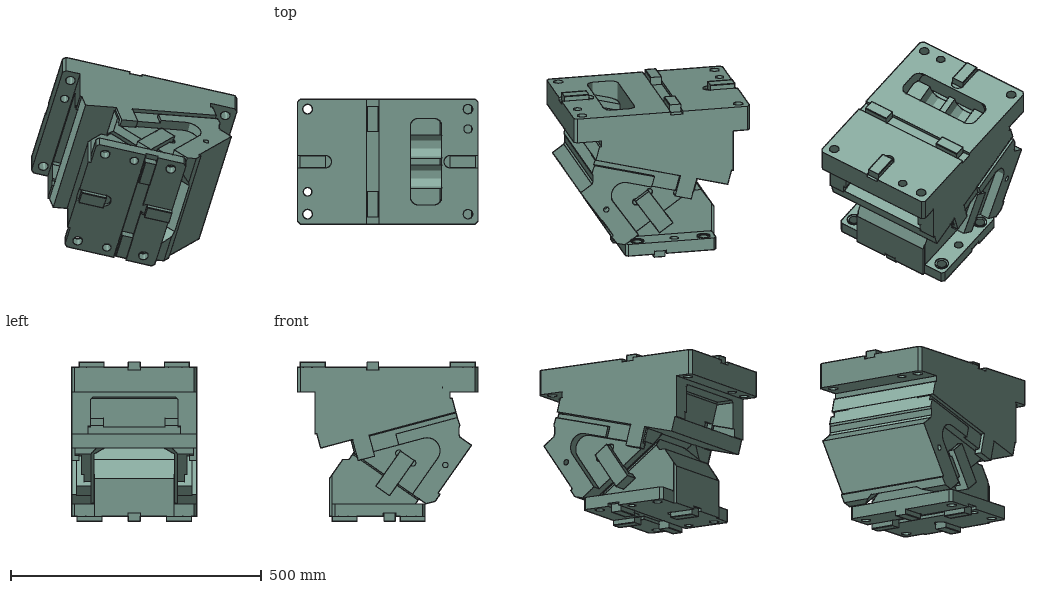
import cadquery as cq
import math


LENGTH = 360.0
WIDTH = 250.0
HEIGHT = 318.0
HALF_WIDTH = WIDTH / 2
FAR = 216.0

KEY_LENGTH = 50.0
KEY_WIDTH = 25.0
KEY_PLAY = 1.8
KEY_PROUD = 10.0
KEY_SLOT_DEPTH = 6.0
KEY_CHAMFER = 1.0
KEY_INSET = 5.5

PLATE_TOP = HEIGHT - KEY_PROUD
PLATE_THICKNESS = 50.0
PLATE_BOTTOM = PLATE_TOP - PLATE_THICKNESS
PLATE_CHAMFER = 5.8
BLOCK_LEFT = -145.0
BLOCK_RIGHT = 124.2
BLOCK_STEP = 246.0
DRIVE_ANGLE = 15.0
DRIVE_TIP = (-134.0, 145.8)
DRIVE_LENGTH = 279.5
SLAB_THICKNESS = 30.0
HOOK_START = 66.0
HOOK_LENGTH = 34.2
HOOK_DEPTH = 43.2
HOOK_INNER_Y = 109.8
CROSS_KEY_X = -30.0
CROSS_KEY_Y = 85.0
BOLT_X = 160.0
BOLT_Y = 104.8
BOLT_RADIUS = 9.5
DOWEL_RADIUS = 8.3
DOWEL_LEFT_Y = -60.0
DOWEL_RIGHT_Y = 65.0
WINDOW_HALF = 86.8
WINDOW_TOP = 247.5
WINDOW_CHAMFER = 3.0
WINDOW_CORNER = 4.5
WINDOW_WALL = 51.0
SILL_HALF = 92.5
SILL_HEIGHT = 16.0
TUNNEL_INNER_Y = 61.0
TUNNEL_HEIGHT = 18.0
TUNNEL_END = 63.0
POCKET_LEFT = 45.0
POCKET_RIGHT = 107.5
POCKET_HALF = 86.5
POCKET_CORNER = 16.2
POCKET_RIM = 3.5
SADDLE_RIGHT = 104.5
SADDLE_TOP = 284.8
TROUGH_DROP = 8.0
TROUGH_RADIUS = 23.5
TROUGH_Y = 30.0

SLIDE_ANGLE = 35.0
SLIDER_BOTTOM = 72.5
DRIVE_GAP = 1.8
PAD_HALF = 86.5
NOSE_START = 62.5
LEDGE_HALF = 118.0
LEDGE_START = 152.3
LEDGE_DROP = 11.5
RECESS_HALF = 105.5
RECESS_DROP = 34.0
RECESS_SLIDE_END = 9.5
RECESS_RADIUS = 26.0
SLIDER_TOE = 42.5
SLIDER_HEEL = 50.0
SLIDER_STOP = 54.7
STOP_LOW = 86.8
STOP_HIGH = 104.0
BACK_TOP = 220.5
BACK_SHOULDER = 21.5
BACK_HOLLOW = ((142.2, 173.5), (142.2, 187.0), (144.0, 191.5))
PIN_HOLE = (115.0, 112.5)
PIN_HOLE_RADIUS = 5.5
PIN_HOLE_DEPTH = 18.0

CLAW_START = -59.8
CLAW_END = -26.3
CLAW_LOW = 44.0
CLAW_HIGH = 129.5
CLAW_OUTER_Y = 115.2
CLAW_FOOT_HEIGHT = 10.8
CLAW_FOOT_Y = 86.0
CLAW_WAIST_Y = 99.7
RELIEF_RADIUS = 6.5
RELIEF_DROP = 5.8
RELIEF_DEPTH = 3.5

BASE_BOTTOM = KEY_PROUD
BASE_LEFT = -116.3
BASE_HALF = 80.5
BASE_FRONT_HALF = 79.5
BASE_SHELF = 123.5
BASE_SLOPE = -144.5
BASE_NOSE = -134.3
BASE_HEEL = 25.5
BASE_EAVE = 69.5
FOOT_LEFT = -111.0
FOOT_RIGHT = 74.5
FOOT_TOP = 35.0
FOOT_CHAMFER = 5.5
FOOT_HOLE_Y = 106.0
FOOT_BOLT_X = (-88.5, 47.0)
FOOT_DOWEL_X = -28.5
BORE_RADIUS = 13.5
BORE_DEPTH = 1.8
FOOT_KEY_END = FOOT_RIGHT + KEY_INSET
FOOT_KEY_X = 3.5
FOOT_KEY_Y = 89.3

ROOF_ANGLE = 35.0
ROOF_TOP = 93.5
ROOF_BASE_HALF = 80.5
ROOF_GROOVE_HALF = 86.5

COS_DRIVE = math.cos(math.radians(DRIVE_ANGLE))
SIN_DRIVE = math.sin(math.radians(DRIVE_ANGLE))
COS_SLIDE = math.cos(math.radians(SLIDE_ANGLE))
SIN_SLIDE = math.sin(math.radians(SLIDE_ANGLE))


def drive(along, above):
    """Point a distance along and above the driver's inclined bottom face."""
    x = DRIVE_TIP[0] + along * COS_DRIVE - above * SIN_DRIVE
    z = DRIVE_TIP[1] + along * SIN_DRIVE + above * COS_DRIVE
    return (x, z)


def slide(along, above):
    """Point a distance down the slide direction and above it, from the part's origin."""
    return (along * COS_SLIDE + above * SIN_SLIDE, -along * SIN_SLIDE + above * COS_SLIDE)


def slide_at_height(along, z):
    """Point at a given height on the line across the slide at a distance along it."""
    return ((along + z * SIN_SLIDE) / COS_SLIDE, z)


def drive_slide_crossing(drive_along, drive_above, slide_along):
    """Where the drive-direction line through a point meets a line across the slide."""
    x, z = drive(drive_along, drive_above)
    here = x * COS_SLIDE - z * SIN_SLIDE
    rate = math.cos(math.radians(DRIVE_ANGLE + SLIDE_ANGLE))
    return drive(drive_along + (slide_along - here) / rate, drive_above)


def nose_bottom():
    """Where the slider's nose face meets its bottom face."""
    x, z = drive(NOSE_START, 0)
    here = x * SIN_SLIDE + z * COS_SLIDE
    rate = math.cos(math.radians(DRIVE_ANGLE + SLIDE_ANGLE))
    return drive(NOSE_START, (SLIDER_BOTTOM - here) / rate)


def prism(points, y_low, y_high):
    """Outline in X and Z, extruded along Y between two positions."""
    return cq.Workplane("XZ", origin=(0, y_high, 0)).polyline(points).close().extrude(y_high - y_low)


def both_sides(points, inner, outer):
    return prism(points, inner, outer).union(prism(points, -outer, -inner))


def box(x_low, x_high, y_low, y_high, z_low, z_high):
    size = (x_high - x_low, y_high - y_low, z_high - z_low)
    return cq.Workplane("XY").box(*size, centered=False).translate((x_low, y_low, z_low))


def upright(points, radius, z_low, z_high):
    return cq.Workplane("XY", origin=(0, 0, z_low)).pushPoints(points).circle(radius).extrude(z_high - z_low)


def roof_bar(bottom, half_bottom, start, end):
    """Trapezoidal bar along the slide direction, from a bottom level to the roof top."""
    half_top = half_bottom - (ROOF_TOP - bottom) / math.tan(math.radians(ROOF_ANGLE))
    x, z = slide(start, 0)
    frame = cq.Plane(origin=(x, 0, z), xDir=(0, 1, 0), normal=(COS_SLIDE, 0, -SIN_SLIDE))
    outline = [(-half_bottom, bottom), (half_bottom, bottom), (half_top, ROOF_TOP), (-half_top, ROOF_TOP)]
    return cq.Workplane(frame).polyline(outline).close().extrude(end - start)


def hook_bars(depth):
    """Bars at both sides where the driver's hooks hang, down to a depth under the drive face."""
    end = HOOK_START + HOOK_LENGTH
    outline = [drive(HOOK_START, 0), drive(HOOK_START, -depth), drive(end, -depth), drive(end, 0)]
    return both_sides(outline, HOOK_INNER_Y, HALF_WIDTH)


def lengthwise_slot(end_x, inward):
    """Slot with one round end, open at end_x; inward is +1 or -1 along X."""
    round_x = end_x + inward * (KEY_INSET + KEY_LENGTH)
    slot = box(min(end_x, round_x), max(end_x, round_x), -KEY_WIDTH / 2, KEY_WIDTH / 2, -KEY_SLOT_DEPTH, 0)
    return slot.union(upright([(round_x, 0)], KEY_WIDTH / 2, -KEY_SLOT_DEPTH, 0))


def lengthwise_key(end_x, inward):
    mid_x = end_x + inward * (KEY_INSET + KEY_LENGTH / 2)
    half = KEY_LENGTH / 2
    key = box(mid_x - half, mid_x + half, -KEY_WIDTH / 2, KEY_WIDTH / 2, -KEY_SLOT_DEPTH, KEY_PROUD)
    return key.edges("|X and >Z").chamfer(KEY_CHAMFER)


def cross_key(mid_x, mid_y):
    half_x = (KEY_WIDTH - KEY_PLAY) / 2
    half_y = KEY_LENGTH / 2
    key = box(mid_x - half_x, mid_x + half_x, mid_y - half_y, mid_y + half_y, -KEY_SLOT_DEPTH, KEY_PROUD)
    return key.edges("|Y and >Z").chamfer(KEY_CHAMFER)


def key_slots(left_x, right_x, cross_x):
    cross = box(cross_x - KEY_WIDTH / 2, cross_x + KEY_WIDTH / 2, -FAR, FAR, -KEY_SLOT_DEPTH, 0)
    return cross.union(lengthwise_slot(left_x, 1)).union(lengthwise_slot(right_x, -1))


def keys(left_x, right_x, cross_x, cross_y):
    return [
        lengthwise_key(left_x, 1),
        lengthwise_key(right_x, -1),
        cross_key(cross_x, cross_y),
        cross_key(cross_x, -cross_y),
    ]


def driver_window():
    """Window in the left side, running along the slab to an end wall."""
    start, wall = -FAR, WINDOW_WALL
    wall_top = drive(wall, (WINDOW_TOP - drive(wall, 0)[1]) / COS_DRIVE)
    opening = prism(
        [
            drive(start, SLAB_THICKNESS),
            drive(wall, SLAB_THICKNESS),
            (wall_top[0] + WINDOW_CHAMFER * math.tan(math.radians(DRIVE_ANGLE)), WINDOW_TOP - WINDOW_CHAMFER),
            (wall_top[0] - WINDOW_CHAMFER, WINDOW_TOP),
            (-FAR, WINDOW_TOP),
        ],
        -WINDOW_HALF,
        WINDOW_HALF,
    )

    opening = opening.edges("|X and >Z").chamfer(WINDOW_CORNER)

    def along_floor(end, height):
        return [
            drive(start, SLAB_THICKNESS),
            drive(end, SLAB_THICKNESS),
            drive(end, SLAB_THICKNESS + height),
            drive(start, SLAB_THICKNESS + height),
        ]

    sill = prism(along_floor(wall, SILL_HEIGHT), -SILL_HALF, SILL_HALF)
    tunnels = both_sides(along_floor(TUNNEL_END, TUNNEL_HEIGHT), TUNNEL_INNER_Y, WINDOW_HALF)
    below_plate = box(-FAR, FAR, -FAR, FAR, 0, PLATE_BOTTOM)
    return opening.union(sill).union(tunnels).intersect(below_plate)


def driver_pocket():
    """Rounded opening in the top over an inclined saddle with two round troughs.

    Below its rim the right wall leans at right angles to the drive direction, and a
    narrow gap separates it from the saddle.
    """
    slope = math.tan(math.radians(DRIVE_ANGLE))
    floor_left = SADDLE_TOP - slope * (SADDLE_RIGHT - POCKET_LEFT)
    rim_z = PLATE_TOP - POCKET_RIM

    opening = box(POCKET_LEFT, POCKET_RIGHT, -POCKET_HALF, POCKET_HALF, 0, PLATE_TOP)
    opening = opening.edges("|Z").fillet(POCKET_CORNER)
    room = prism(
        [
            (POCKET_LEFT, floor_left),
            (SADDLE_RIGHT, SADDLE_TOP),
            (POCKET_RIGHT, rim_z),
            (POCKET_RIGHT, PLATE_TOP),
            (POCKET_LEFT, PLATE_TOP),
        ],
        -POCKET_HALF,
        POCKET_HALF,
    )
    gap_drop = TROUGH_DROP + TROUGH_RADIUS
    wall_drop = gap_drop + (rim_z - SADDLE_TOP)
    gap = prism(
        [
            (SADDLE_RIGHT, SADDLE_TOP),
            (SADDLE_RIGHT + gap_drop * SIN_DRIVE, SADDLE_TOP - gap_drop * COS_DRIVE),
            (POCKET_RIGHT + wall_drop * SIN_DRIVE, rim_z - wall_drop * COS_DRIVE),
            (POCKET_RIGHT, rim_z),
        ],
        -POCKET_HALF,
        POCKET_HALF,
    )
    pocket = room.intersect(opening).union(gap)

    saddle_start = cq.Plane(
        origin=(POCKET_LEFT, 0, floor_left),
        xDir=(0, 1, 0),
        normal=(COS_DRIVE, 0, SIN_DRIVE),
    )
    saddle_length = (SADDLE_RIGHT - POCKET_LEFT) / COS_DRIVE
    start = cq.Workplane(saddle_start).workplane(offset=-TROUGH_RADIUS)
    reach = saddle_length + TROUGH_RADIUS
    right_of_wall = box(POCKET_LEFT, FAR, -FAR, FAR, 0, PLATE_TOP)
    for y in (-TROUGH_Y, TROUGH_Y):
        round_part = start.center(y, -TROUGH_DROP).circle(TROUGH_RADIUS).extrude(reach)
        upright_part = start.center(y, -TROUGH_DROP / 2).rect(2 * TROUGH_RADIUS, TROUGH_DROP).extrude(reach)
        pocket = pocket.union(round_part.union(upright_part).intersect(right_of_wall))
    return pocket


def make_driver():
    plate = box(-LENGTH / 2, LENGTH / 2, -HALF_WIDTH, HALF_WIDTH, PLATE_BOTTOM, PLATE_TOP)
    plate = plate.edges("|Z").chamfer(PLATE_CHAMFER)
    step_left = drive(0, SLAB_THICKNESS)
    step_right = drive(DRIVE_LENGTH, (BLOCK_STEP - drive(DRIVE_LENGTH, 0)[1]) / COS_DRIVE)
    block = prism(
        [
            (BLOCK_LEFT, PLATE_BOTTOM),
            (BLOCK_LEFT, step_left[1]),
            step_left,
            drive(0, 0),
            drive(DRIVE_LENGTH, 0),
            step_right,
            (BLOCK_RIGHT, BLOCK_STEP),
            (BLOCK_RIGHT, PLATE_BOTTOM),
        ],
        -HALF_WIDTH,
        HALF_WIDTH,
    )
    hooks = hook_bars(HOOK_DEPTH)
    body = plate.union(block).union(hooks).cut(driver_window()).cut(driver_pocket())

    bolts = [(x, y) for x in (-BOLT_X, BOLT_X) for y in (-BOLT_Y, BOLT_Y)]
    dowels = [(-BOLT_X, DOWEL_LEFT_Y), (BOLT_X, DOWEL_RIGHT_Y)]
    body = body.cut(upright(bolts, BOLT_RADIUS, PLATE_BOTTOM, PLATE_TOP))
    body = body.cut(upright(dowels, DOWEL_RADIUS, PLATE_BOTTOM, PLATE_TOP))

    lift = (0, 0, PLATE_TOP)
    body = body.cut(key_slots(-LENGTH / 2, LENGTH / 2, CROSS_KEY_X).translate(lift))
    for key in keys(-LENGTH / 2, LENGTH / 2, CROSS_KEY_X, CROSS_KEY_Y):
        body = body.union(key.translate(lift))
    return body


def slider_block():
    outline = [
        drive(NOSE_START, -DRIVE_GAP),
        nose_bottom(),
        slide(SLIDER_TOE, SLIDER_BOTTOM),
        slide(SLIDER_STOP, STOP_LOW),
        slide(SLIDER_STOP, STOP_HIGH),
        slide(SLIDER_HEEL, STOP_HIGH),
        slide(SLIDER_HEEL, BACK_TOP),
        slide(BACK_SHOULDER, BACK_TOP),
        *BACK_HOLLOW,
        drive(DRIVE_LENGTH, -LEDGE_DROP),
        drive(DRIVE_LENGTH, -DRIVE_GAP),
    ]
    pad_start = HOOK_START + HOOK_LENGTH
    pad = prism(
        [
            drive(pad_start, -DRIVE_GAP),
            drive(DRIVE_LENGTH, -DRIVE_GAP),
            drive(DRIVE_LENGTH, 0),
            drive(pad_start, 0),
        ],
        -PAD_HALF,
        PAD_HALF,
    )
    return prism(outline, -HALF_WIDTH, HALF_WIDTH).union(pad)


def slider_ledges():
    """Side material removed above and to the left of the outer cheeks."""
    return both_sides(
        [
            drive(0, 0),
            drive(0, -RECESS_DROP),
            drive(LEDGE_START, -RECESS_DROP),
            drive(LEDGE_START, -LEDGE_DROP),
            drive(FAR * 2, -LEDGE_DROP),
            drive(FAR * 2, 0),
        ],
        LEDGE_HALF,
        HALF_WIDTH,
    )


def slider_recesses():
    """Side recesses that house the claws and let the hooks pass."""
    corner = drive_slide_crossing(0, -RECESS_DROP, RECESS_SLIDE_END)
    outline = [
        drive(0, -RECESS_DROP),
        slide(-FAR, 0),
        slide(RECESS_SLIDE_END, 0),
        corner,
    ]
    recess = both_sides(outline, RECESS_HALF, HALF_WIDTH)
    for y in (-HALF_WIDTH, HALF_WIDTH):
        at_corner = cq.selectors.NearestToPointSelector((corner[0], y, corner[1]))
        recess = recess.edges("|Y").edges(at_corner).fillet(RECESS_RADIUS)
    return recess


def claw_reliefs():
    """Round corner reliefs in the recess floor beside each claw's top."""
    centres = [slide(along, CLAW_HIGH - RELIEF_DROP) for along in (CLAW_START, CLAW_END)]
    bore = cq.Workplane("XZ", origin=(0, RECESS_HALF, 0)).pushPoints(centres)
    bore = bore.circle(RELIEF_RADIUS).extrude(RELIEF_DEPTH)
    return bore.union(bore.mirror("XZ"))


def claws():
    def bar(low, high, inner):
        return both_sides(
            [slide(CLAW_START, low), slide(CLAW_END, low), slide(CLAW_END, high), slide(CLAW_START, high)],
            inner,
            CLAW_OUTER_Y,
        )

    foot = bar(CLAW_LOW, CLAW_LOW + CLAW_FOOT_HEIGHT, CLAW_FOOT_Y)
    return foot.union(bar(CLAW_LOW, CLAW_HIGH, CLAW_WAIST_Y))


def make_slider():
    body = slider_block().cut(slider_ledges()).cut(slider_recesses()).cut(hook_bars(FAR))
    body = body.cut(roof_bar(SLIDER_BOTTOM, ROOF_GROOVE_HALF, -FAR, FAR))
    body = body.cut(claw_reliefs()).union(claws())
    pin_hole = cq.Workplane("XZ", origin=(0, -HALF_WIDTH + PIN_HOLE_DEPTH, 0))
    pin_hole = pin_hole.center(*PIN_HOLE).circle(PIN_HOLE_RADIUS).extrude(PIN_HOLE_DEPTH)
    return body.cut(pin_hole).cut(pin_hole.mirror("XZ"))


def make_base():
    slope_foot = (BASE_LEFT, (BASE_LEFT * COS_SLIDE - BASE_SLOPE) / SIN_SLIDE)
    block = prism(
        [
            (BASE_LEFT, BASE_BOTTOM),
            slope_foot,
            slide_at_height(BASE_SLOPE, BASE_SHELF),
            slide_at_height(BASE_NOSE, BASE_SHELF),
            slide(BASE_NOSE, BASE_EAVE),
            slide(BASE_HEEL, BASE_EAVE),
            slide_at_height(BASE_HEEL, FOOT_TOP),
            slide_at_height(BASE_HEEL, BASE_BOTTOM),
        ],
        -BASE_HALF,
        BASE_HALF,
    )
    for y_low, y_high in ((BASE_FRONT_HALF, BASE_HALF), (-BASE_HALF, -BASE_FRONT_HALF)):
        block = block.cut(box(BASE_LEFT, FOOT_LEFT, y_low, y_high, BASE_BOTTOM, BASE_SHELF))
    foot = box(FOOT_LEFT, FOOT_RIGHT, -HALF_WIDTH, HALF_WIDTH, BASE_BOTTOM, FOOT_TOP)
    foot = foot.edges("|Z").chamfer(FOOT_CHAMFER)
    body = foot.union(block).union(roof_bar(BASE_EAVE, ROOF_BASE_HALF, BASE_NOSE, BASE_HEEL))

    bolts = [(x, y) for x in FOOT_BOLT_X for y in (-FOOT_HOLE_Y, FOOT_HOLE_Y)]
    dowels = [(FOOT_DOWEL_X, y) for y in (-FOOT_HOLE_Y, FOOT_HOLE_Y)]
    body = body.cut(upright(bolts, BOLT_RADIUS, BASE_BOTTOM, FOOT_TOP))
    body = body.cut(upright(bolts, BORE_RADIUS, FOOT_TOP - BORE_DEPTH, FOOT_TOP))
    body = body.cut(upright(dowels, DOWEL_RADIUS, BASE_BOTTOM, FOOT_TOP))

    def underside(shape):
        return shape.mirror("XY").translate((0, 0, BASE_BOTTOM))

    body = body.cut(underside(key_slots(BASE_LEFT, FOOT_KEY_END, FOOT_KEY_X)))
    for key in keys(BASE_LEFT, FOOT_KEY_END, FOOT_KEY_X, FOOT_KEY_Y):
        body = body.union(underside(key))
    return body


driver = make_driver()
slider = make_slider()
base = make_base()

result = cq.Compound.makeCompound([*driver.vals(), *slider.vals(), *base.vals()])